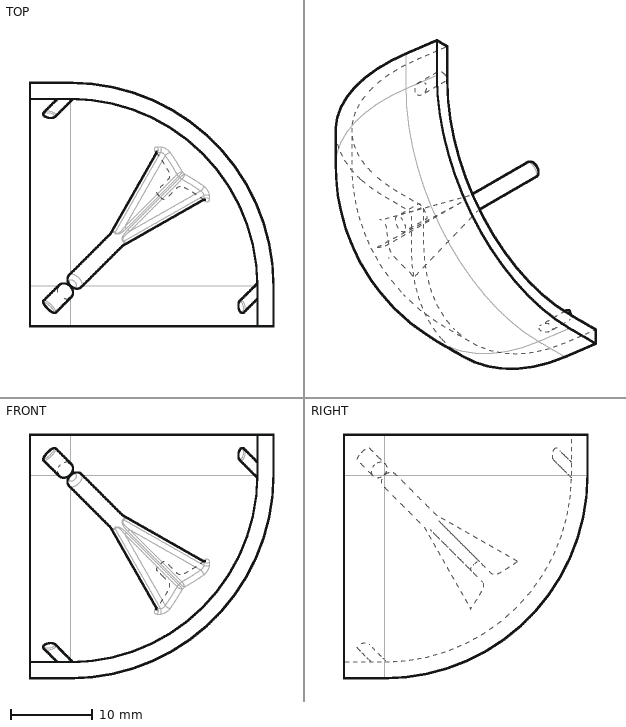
import cadquery as cq
import math

cube_side = 30.0
outer_radius = 25.0
wall = 2.0
inner_radius = outer_radius - wall
flat_margin = cube_side - outer_radius
center = cq.Vector(flat_margin, flat_margin, outer_radius)

diagonal = cq.Vector(1, 1, -1).normalized()
toward_floor = cq.Vector(-1, -1, -2).normalized()
sideways = diagonal.cross(toward_floor)
symmetry_angles = [0, 120, 240]

rod_diameter = 2.1
rod_radius = rod_diameter / 2
rod_start = 0.5
root_depth = inner_radius + wall / 2
edge_fillet = 0.5

rib_thickness = 1.5
rib_start = 10.0
rib_foot_radius = 4.63
rib_foot_depth = math.sqrt(inner_radius**2 - rib_foot_radius**2)

pin_length = 5.0
pin_width = 2.1
pin_depth = 1.0
pin_end_fillet = 0.15
pin_end_margin = 2.35
pin_end_height = 4.0


def point_at(radius, depth, angle=0.0):
    """Point at a distance from the diagonal, a depth along it and an angle (degrees) around it."""
    turn = math.radians(angle)
    outward = toward_floor * math.cos(turn) + sideways * math.sin(turn)
    return center + outward * radius + diagonal * depth


def nearest(point):
    return cq.selectors.NearestToPointSelector(point.toTuple())


def cross_plane(origin):
    """Plane across the diagonal, with x running toward the floor corner and y sideways."""
    return cq.Plane(origin=origin.toTuple(), xDir=toward_floor.toTuple(), normal=diagonal.toTuple())


def turned(body, angle):
    return body.rotate(center.toTuple(), (center + diagonal).toTuple(), angle)


def rounded_block(radius):
    """Cube from the open corner, with the three edges at the opposite corner rounded."""
    side = flat_margin + radius
    block = cq.Workplane("XY").box(side, side, side, centered=False)
    block = block.translate((0, 0, cube_side - side))
    floor_edges = block.edges(">X and <Z").add(block.edges(">Y and <Z"))
    return floor_edges.add(block.edges(">X and >Y")).fillet(radius)


def make_shell():
    return rounded_block(outer_radius).cut(rounded_block(inner_radius))


def make_rod():
    tip = point_at(0, rod_start)
    rod = cq.Workplane(cross_plane(tip)).circle(rod_radius).extrude(root_depth - rod_start)
    return rod.edges(nearest(tip)).fillet(edge_fillet)


def make_rib():
    """Triangular rib with rounded sloping edges, rooted inside the wall."""
    slope = (rib_foot_radius - rod_radius) / (rib_foot_depth - rib_start)
    apex_depth = rib_start - rod_radius / slope
    root_radius = slope * (root_depth - apex_depth)
    profile_plane = cq.Plane(
        origin=center.toTuple(), xDir=toward_floor.toTuple(), normal=(sideways * -1).toTuple()
    )
    rib = (
        cq.Workplane(profile_plane)
        .moveTo(0, apex_depth)
        .lineTo(root_radius, root_depth)
        .lineTo(0, root_depth)
        .close()
        .extrude(rib_thickness / 2, both=True)
    )
    sloping_face = rib.faces(nearest(point_at(root_radius / 2, (apex_depth + root_depth) / 2)))
    sloping_edges = sloping_face.edges(cq.selectors.PerpendicularDirSelector(sideways))
    return sloping_edges.fillet(edge_fillet)


def make_stand():
    """Rod and ribs, with the inside corners between them rounded."""
    stand = make_rod()
    for angle in symmetry_angles:
        stand = stand.union(turned(make_rib(), angle))
    half_rib_angle = math.degrees(math.asin(rib_thickness / 2 / rod_radius))
    middle_depth = (rib_start + root_depth) / 2
    lengthwise_edges = stand.edges(cq.selectors.ParallelDirSelector(diagonal))
    corners = []
    for angle in symmetry_angles:
        for side in (-1, 1):
            corner_point = point_at(rod_radius, middle_depth, angle + side * half_rib_angle)
            corners += lengthwise_edges.edges(nearest(corner_point)).vals()
    return stand.newObject(corners).fillet(edge_fillet)


def round_feet(body):
    """Fillet where the stand meets the wall; its outline is smooth, so one edge leads all round."""
    start_edge = body.edges(nearest(point_at(rib_foot_radius, rib_foot_depth)))
    return start_edge.fillet(edge_fillet)


def make_pin():
    """Elliptical pin with a rounded free end; its other end is buried in the wall."""
    pin_end = cq.Vector(pin_end_margin, pin_end_margin, pin_end_height)
    pin = cq.Workplane(cross_plane(pin_end)).ellipse(pin_depth / 2, pin_width / 2).extrude(pin_length)
    return pin.edges(nearest(pin_end)).fillet(pin_end_fillet)


result = round_feet(make_shell().union(make_stand()))
for pin_angle in symmetry_angles:
    result = result.union(turned(make_pin(), pin_angle))